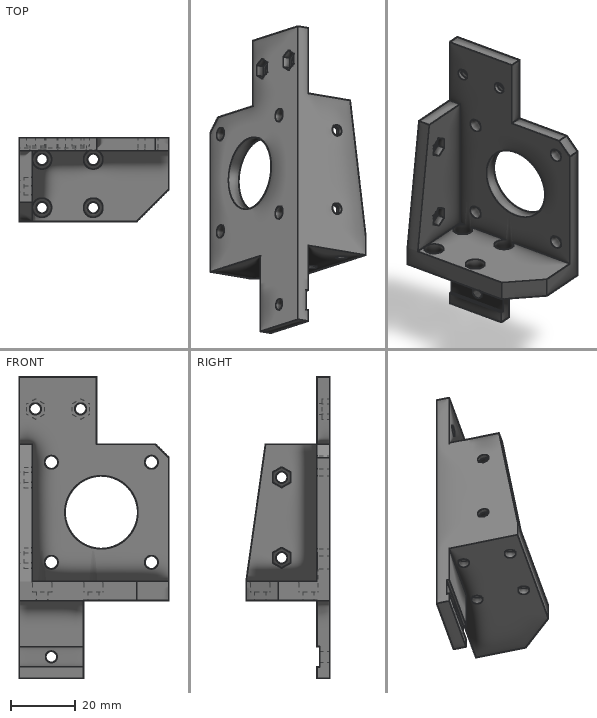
import cadquery as cq
import math

total_width = 46.5
total_depth = 26.0
total_height = 93.5
plate_thickness = 4.0

upper_strip_width = 24.0
lower_strip_width = 20.0
plate_top = 72.65
plate_corner_chamfer = 4.2

shelf_top = 30.1
shelf_thickness = 6.0
shelf_bottom = shelf_top - shelf_thickness
shelf_corner_chamfer = 10.0
wall_top_depth = 20.0

groove_bottom = 3.55
groove_top = 9.8
groove_depth = 0.8

motor_x = 25.5
motor_z = 51.5
motor_bore_diameter = 22.5
motor_hole_spacing = 31.0
motor_hole_diameter = 4.0

screw_diameter = 3.5
upper_screw_xs = (5.05, 19.1)
upper_screw_z = 83.6
lower_screw_x = 10.0
lower_screw_z = (groove_bottom + groove_top) / 2
wall_screw_y = -15.0
wall_screw_zs = (37.4, 62.4)

nut_across_flats = 5.5
nut_seat_thickness = 1.5
nut_pocket_depth = plate_thickness - nut_seat_thickness

shelf_screw_xs = (7.1, 23.0)
shelf_screw_ys = (-6.7, -21.7)
counterbore_diameter = 6.0
counterbore_depth = 3.3
clearance_tip_diameter = 2.9
clearance_height = 54.7


def front_cylinder(x, z, diameter):
    """Cutter running through the back plate along Y."""
    return cq.Workplane("XZ").center(x, z).circle(diameter / 2).extrude(plate_thickness)


def nut_pocket(plane, horizontal, vertical):
    """Hexagonal cutter on the given plane, with two corners on its vertical axis."""
    across_corners = nut_across_flats / math.cos(math.pi / 6)
    hexagon = cq.Sketch().regularPolygon(across_corners / 2, 6)
    base = cq.Workplane(plane).center(horizontal, vertical)
    return base.placeSketch(hexagon).extrude(nut_pocket_depth)


def make_back_plate():
    outline = [
        (0, 0),
        (lower_strip_width, 0),
        (lower_strip_width, shelf_bottom),
        (total_width, shelf_bottom),
        (total_width, plate_top - plate_corner_chamfer),
        (total_width - plate_corner_chamfer, plate_top),
        (upper_strip_width, plate_top),
        (upper_strip_width, total_height),
        (0, total_height),
    ]
    plate = cq.Workplane("XZ").polyline(outline).close().extrude(plate_thickness)
    groove = cq.Workplane("XY").box(
        lower_strip_width, groove_depth, groove_top - groove_bottom, centered=False
    )
    return plate.cut(groove.translate((0, -plate_thickness, groove_bottom)))


def make_side_wall():
    outline = [
        (0, shelf_bottom),
        (-total_depth, shelf_bottom),
        (-total_depth, shelf_top),
        (-wall_top_depth, plate_top),
        (0, plate_top),
    ]
    return cq.Workplane("YZ").polyline(outline).close().extrude(plate_thickness)


def make_shelf():
    outline = [
        (0, 0),
        (total_width, 0),
        (total_width, shelf_corner_chamfer - total_depth),
        (total_width - shelf_corner_chamfer, -total_depth),
        (0, -total_depth),
    ]
    shelf = cq.Workplane("XY").workplane(offset=shelf_bottom)
    return shelf.polyline(outline).close().extrude(shelf_thickness)


def drill_back_plate(body):
    body = body.cut(front_cylinder(motor_x, motor_z, motor_bore_diameter))
    for side_x in (-1, 1):
        for side_z in (-1, 1):
            x = motor_x + side_x * motor_hole_spacing / 2
            z = motor_z + side_z * motor_hole_spacing / 2
            body = body.cut(front_cylinder(x, z, motor_hole_diameter))
    for x in upper_screw_xs:
        body = body.cut(front_cylinder(x, upper_screw_z, screw_diameter))
        body = body.cut(nut_pocket("XZ", x, upper_screw_z))
    return body.cut(front_cylinder(lower_screw_x, lower_screw_z, screw_diameter))


def drill_side_wall(body):
    points = [(wall_screw_y, z) for z in wall_screw_zs]
    holes = cq.Workplane("YZ").pushPoints(points).circle(screw_diameter / 2)
    body = body.cut(holes.extrude(plate_thickness))
    for z in wall_screw_zs:
        pocket = nut_pocket("YZ", wall_screw_y, z)
        body = body.cut(pocket.translate((nut_seat_thickness, 0, 0)))
    return body


def drill_shelf(body):
    counterbore_floor = shelf_top - counterbore_depth
    for x in shelf_screw_xs:
        for y in shelf_screw_ys:
            hole = cq.Solid.makeCylinder(
                screw_diameter / 2, shelf_thickness, cq.Vector(x, y, shelf_bottom)
            )
            counterbore = cq.Solid.makeCylinder(
                counterbore_diameter / 2, counterbore_depth, cq.Vector(x, y, counterbore_floor)
            )
            clearance = cq.Solid.makeCone(
                counterbore_diameter / 2,
                clearance_tip_diameter / 2,
                clearance_height,
                cq.Vector(x, y, shelf_top),
            )
            for cutter in (hole, counterbore, clearance):
                body = body.cut(cq.Workplane(cutter))
    return body


result = make_back_plate().union(make_side_wall()).union(make_shelf())
result = drill_back_plate(result)
result = drill_side_wall(result)
result = drill_shelf(result)